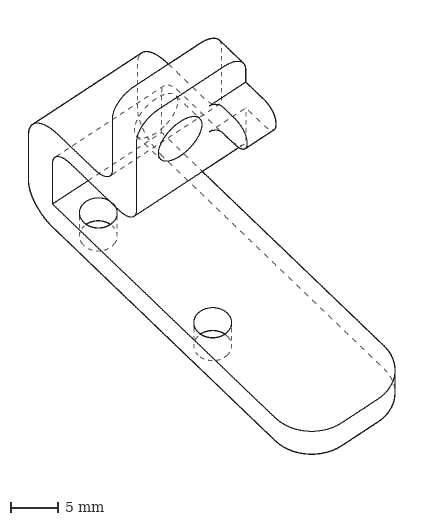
import cadquery as cq

length = 46.0
width = 15.0
height = 32.0

wall = 4.0
shelf_thickness = 3.0
shelf_top = 17.0
tab_front = 18.0
base_bend_radius = 4.0
shelf_bend_radius = 5.0
small_radius = 3.0
plate_corner_radius = 5.0

tab_hole_diameter = 6.0
tab_hole_y = 6.0
tab_hole_z = 24.43
plate_hole_diameter = 4.0
plate_hole_y = 3.0
plate_hole_xs = (8.0, 27.0)

finger_length = 5.0
finger_width = 4.0
finger_height = 4.5
finger_bottom = 22.3
finger_tip_radius = 2.0
finger_root_radius = 1.0

tab_back = tab_front - wall
shelf_bottom = shelf_top - shelf_thickness


def bend_edge(body, x, z):
    """Select the Y-parallel edge at one corner of the strip profile."""
    reach = 0.05
    box = cq.selectors.BoxSelector(
        (x - reach, 0, z - reach), (x + reach, width, z + reach))
    return body.edges("|Y").edges(box)


def make_strip():
    """Bent strip: base plate, back wall, shelf and upright tab."""
    profile = [
        (0, 0),
        (length, 0),
        (length, wall),
        (wall, wall),
        (wall, shelf_bottom),
        (tab_front, shelf_bottom),
        (tab_front, height),
        (tab_back, height),
        (tab_back, shelf_top),
        (0, shelf_top),
    ]
    bends = [
        (0, 0, base_bend_radius),
        (0, shelf_top, shelf_bend_radius),
        (wall, shelf_bottom, small_radius),
        (tab_front, shelf_bottom, small_radius),
        (tab_back, shelf_top, small_radius),
    ]
    strip = cq.Workplane("XZ").polyline(profile).close().extrude(-width)
    for x, z, radius in bends:
        strip = bend_edge(strip, x, z).fillet(radius)
    strip = strip.faces(">X").edges("|Z").fillet(plate_corner_radius)
    return strip.faces(">Z").edges("|X").fillet(small_radius)


def make_finger():
    """Round-tipped finger at the +Y side, blended into the tab at its root."""
    side = width - finger_width
    finger = (
        cq.Workplane("XY")
        .box(finger_length, finger_width, finger_height, centered=False)
        .translate((tab_front, side, finger_bottom))
        .faces(">X").edges("|Y").fillet(finger_tip_radius)
    )
    root = (
        cq.Workplane("XY", origin=(tab_front, side, finger_bottom))
        .lineTo(0, -finger_root_radius)
        .radiusArc((finger_root_radius, 0), finger_root_radius)
        .close()
        .extrude(finger_height)
    )
    return finger.union(root)


def make_holes():
    """Cutters for the tab hole and the two base plate holes."""
    tab_hole = (
        cq.Workplane("YZ", origin=(tab_back, tab_hole_y, tab_hole_z))
        .circle(tab_hole_diameter / 2)
        .extrude(wall)
    )
    plate_holes = (
        cq.Workplane("XY")
        .pushPoints([(x, plate_hole_y) for x in plate_hole_xs])
        .circle(plate_hole_diameter / 2)
        .extrude(wall)
    )
    return tab_hole.union(plate_holes)


result = make_strip().union(make_finger()).cut(make_holes())